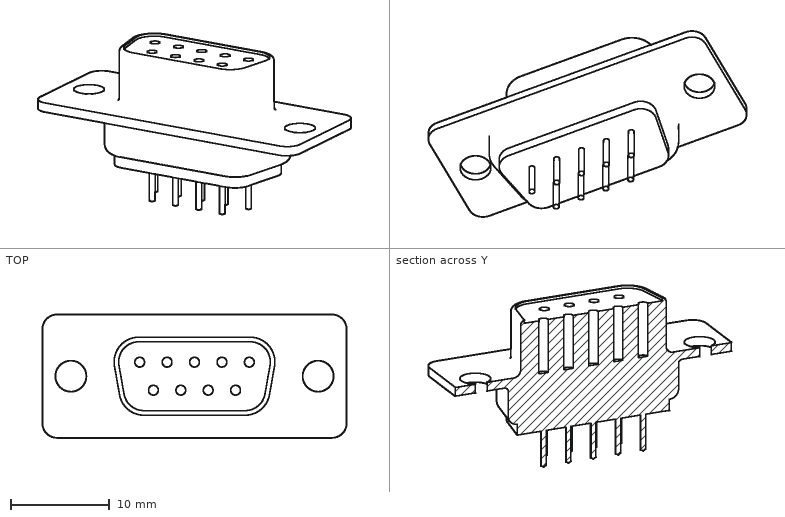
import cadquery as cq
import math

FLANGE_LENGTH = 30.8
FLANGE_WIDTH = 12.5
FLANGE_THICKNESS = 1.0
FLANGE_CORNER_RADIUS = 1.5
MOUNTING_HOLE_DIAMETER = 3.1
MOUNTING_HOLE_SPACING = 25.02

END_SLOPE_DEGREES = 10.0

SHELL_HEIGHT = 6.0
SHELL_MID_LENGTH = 15.85
SHELL_WIDTH = 7.9
SHELL_CORNER_RADIUS = 2.5
SHELL_RIM_RADIUS = 0.4
SHELL_ROOT_RADIUS = 0.75
SHELL_WALL = 0.45
FACE_RECESS = 0.28

BODY_HEIGHT = 4.1
BODY_MID_LENGTH = 18.55
BODY_WIDTH = 9.83
BODY_CORNER_RADIUS = 2.62
BODY_EDGE_RADIUS = 1.0
BODY_ROOT_RADIUS = 0.37

BASE_HEIGHT = 1.2
BASE_INSET = 1.02

CONTACT_PITCH = 2.77
ROW_SPACING = 2.83
ROW_COUNTS = {ROW_SPACING / 2: 5, -ROW_SPACING / 2: 4}
SOCKET_DIAMETER = 1.0
PIN_DIAMETER = 0.6
PIN_LENGTH = 3.9
PIN_TIP_LENGTH = 0.15

SHELL_TOP_Z = FLANGE_THICKNESS + SHELL_HEIGHT
FACE_Z = SHELL_TOP_Z - FACE_RECESS
BODY_BOTTOM_Z = -BODY_HEIGHT
BASE_BOTTOM_Z = BODY_BOTTOM_Z - BASE_HEIGHT
SOCKET_DEPTH = FACE_Z - FLANGE_THICKNESS


def d_prism(mid_length, width, corner_radius, bottom_z, height, inset=0.0):
    """Prism with a rounded D outline, moved inward by `inset`; `mid_length` is its length at Y = 0."""
    slope = math.radians(END_SLOPE_DEGREES)
    half_width = width / 2 - inset
    half_mid = mid_length / 2 - inset / math.cos(slope)
    lean = half_width * math.tan(slope)
    corners = [
        (-half_mid - lean, half_width),
        (half_mid + lean, half_width),
        (half_mid - lean, -half_width),
        (-half_mid + lean, -half_width),
    ]
    return (
        cq.Workplane("XY")
        .workplane(offset=bottom_z)
        .polyline(corners)
        .close()
        .extrude(height)
        .edges("|Z")
        .fillet(corner_radius - inset)
    )


def fillet_root(solid, face_z, mid_length, width, radius):
    """Round the inner corner where a D-shaped prism stands on the flange face at `face_z`."""
    reach_x = (mid_length + width * math.tan(math.radians(END_SLOPE_DEGREES))) / 2
    reach_y = width / 2
    margin = 0.03
    around_root = cq.selectors.BoxSelector(
        (-reach_x - margin, -reach_y - margin, face_z - margin),
        (reach_x + margin, reach_y + margin, face_z + margin),
    )
    return solid.edges(around_root).fillet(radius)


def contact_points():
    """Contact centres, each row centred on X = 0."""
    return [
        ((index - (count - 1) / 2) * CONTACT_PITCH, row_y)
        for row_y, count in ROW_COUNTS.items()
        for index in range(count)
    ]


def make_pin(point):
    """Round pin with a conical tip, hanging from the underside of the base."""
    radius = PIN_DIAMETER / 2
    profile = [
        (0, 0),
        (radius, 0),
        (radius, PIN_TIP_LENGTH - PIN_LENGTH),
        (0, -PIN_LENGTH),
    ]
    pin = cq.Workplane("XZ").polyline(profile).close().revolve(360, (0, 0), (0, 1))
    return pin.translate((*point, BASE_BOTTOM_Z))


flange = (
    cq.Workplane("XY")
    .rect(FLANGE_LENGTH, FLANGE_WIDTH)
    .extrude(FLANGE_THICKNESS)
    .edges("|Z")
    .fillet(FLANGE_CORNER_RADIUS)
)

shell_size = (SHELL_MID_LENGTH, SHELL_WIDTH, SHELL_CORNER_RADIUS)
shell = d_prism(*shell_size, FLANGE_THICKNESS, SHELL_HEIGHT)
shell = shell.faces(">Z").edges().fillet(SHELL_RIM_RADIUS)

body_size = (BODY_MID_LENGTH, BODY_WIDTH, BODY_CORNER_RADIUS)
body = d_prism(*body_size, BODY_BOTTOM_Z, BODY_HEIGHT)
body = body.faces("<Z").edges().fillet(BODY_EDGE_RADIUS)

part = flange.union(shell).union(body)
part = fillet_root(part, FLANGE_THICKNESS, SHELL_MID_LENGTH, SHELL_WIDTH, SHELL_ROOT_RADIUS)
part = fillet_root(part, 0, BODY_MID_LENGTH, BODY_WIDTH, BODY_ROOT_RADIUS)

base = d_prism(*body_size, BASE_BOTTOM_Z, -BASE_BOTTOM_Z, BASE_INSET)
part = part.union(base)

part = part.cut(d_prism(*shell_size, FACE_Z, FACE_RECESS, SHELL_WALL))

sockets = (
    cq.Workplane("XY")
    .workplane(offset=FACE_Z)
    .pushPoints(contact_points())
    .circle(SOCKET_DIAMETER / 2)
    .extrude(-SOCKET_DEPTH)
)
part = part.cut(sockets)

mounting_holes = (
    cq.Workplane("XY")
    .pushPoints([(-MOUNTING_HOLE_SPACING / 2, 0), (MOUNTING_HOLE_SPACING / 2, 0)])
    .circle(MOUNTING_HOLE_DIAMETER / 2)
    .extrude(FLANGE_THICKNESS)
)
part = part.cut(mounting_holes)

for contact_point in contact_points():
    part = part.union(make_pin(contact_point))

result = part